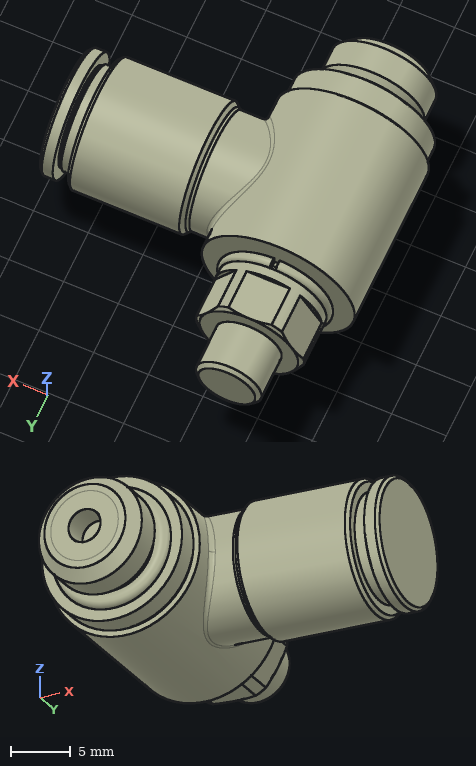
import cadquery as cq
import math

total_length = 33.05

body_radius = 7.0
body_start = 7.53
body_end = 22.6

bore_radius = 1.5
bore_depth = 2.65
foot_face_radius = 3.15
foot_rim_radius = 3.77
foot_rim_height = 0.05
thread_radius = 4.8
thread_start = foot_rim_height + thread_radius - foot_rim_radius
thread_end = 3.55
foot_neck_radius = 4.13
foot_neck_start = thread_end + thread_radius - foot_neck_radius

flange_start = 5.2
flange_radius = 6.5
seal_radius = 5.5
seal_section_radius = 0.75
seal_centre_radius = seal_radius - seal_section_radius
seal_start = flange_start - seal_section_radius
seal_overlap = seal_centre_radius - foot_neck_radius
seal_inner_start = flange_start - math.sqrt(seal_section_radius**2 - seal_overlap**2)
flange_chamfer = 0.15

ring_outer_radius = 5.25
ring_thickness = 1.0
ring_gap = 0.53
ring_seat_radius = 4.63
ring_seat_start = 23.33
ring_groove_radius = 3.95
collar_start = 23.72
collar_radius = 4.92
hex_start = 24.6
hex_end = 28.55
hex_across_flats = 9.02
hex_turn = 30
hex_chamfer_height = 0.23
hex_face_radius = hex_across_flats / 2

stem_radius = 3.0
stem_chamfer = 0.4

arm_y = (body_start + body_end) / 2
arm_end = 22.7
neck_radius = 5.5
neck_fillet = 0.43
neck_end = 9.05
neck_step_x = 9.35
neck_step_radius = 5.62
sleeve_radius = 6.0
sleeve_start = neck_step_x + sleeve_radius - neck_step_radius
sleeve_end = 20.05
sleeve_chamfer = 0.33
collet_radius = 4.82
collet_end = 21.05
collet_tip_radius = 4.63
collet_tip_start = collet_end + collet_radius - collet_tip_radius
button_start = 21.4
button_radius = 5.78
button_chamfer = 0.3


def cylinder_along_y(radius, start, end):
    """Solid cylinder on the spindle axis between two places along Y."""
    return cq.Workplane("XZ", origin=(0, start, 0)).circle(radius).extrude(start - end)


def spindle_below_body():
    """Foot, seal and flange turned about Y, with the blind bore."""
    profile = (
        cq.Workplane("XY")
        .lineTo(foot_face_radius, 0)
        .lineTo(foot_rim_radius, foot_rim_height)
        .lineTo(thread_radius, thread_start)
        .lineTo(thread_radius, thread_end)
        .lineTo(foot_neck_radius, foot_neck_start)
        .lineTo(foot_neck_radius, seal_inner_start)
        .threePointArc((seal_centre_radius, seal_start), (seal_radius, flange_start))
        .lineTo(flange_radius, flange_start)
        .lineTo(flange_radius, body_start - flange_chamfer)
        .lineTo(flange_radius - flange_chamfer, body_start)
        .lineTo(flange_radius - flange_chamfer, arm_y)
        .lineTo(0, arm_y)
        .close()
    )
    turned = profile.revolve(360, (0, 0, 0), (0, 1, 0))
    bore = cylinder_along_y(bore_radius, 0, bore_depth)
    return turned.cut(bore)


def body_with_neck():
    """Plain body cylinder with the arm's neck blended into it."""
    body = cylinder_along_y(body_radius, body_start, body_end)
    neck = cq.Workplane("YZ").center(arm_y, 0).circle(neck_radius).extrude(neck_end)
    joint_margin = 0.33
    joint_box = cq.selectors.BoxSelector(
        (joint_margin, arm_y - body_radius, -body_radius),
        (neck_end - joint_margin, arm_y + body_radius, body_radius),
    )
    return body.union(neck).edges(joint_box).fillet(neck_fillet)


def snap_ring():
    """Split ring of round section held against the collar, its gap facing +Z."""
    section_radius = ring_thickness / 2
    centre_radius = ring_outer_radius - section_radius
    centre_y = collar_start - section_radius
    section_plane = cq.Plane(origin=(centre_radius, centre_y, 0), xDir=(-1, 0, 0), normal=(0, 0, 1))
    section = cq.Workplane(section_plane).circle(section_radius)
    ring = section.revolve(360, (centre_radius, 0, 0), (centre_radius, 1, 0))
    gap = (
        cq.Workplane("XY", origin=(0, centre_y, 0))
        .rect(ring_gap, 2 * ring_thickness)
        .extrude(ring_outer_radius + ring_thickness)
    )
    return ring.cut(gap)


def spindle_above_body():
    """Collar, chamfered hexagon and adjusting stem."""
    turned = (
        cq.Workplane("XY")
        .moveTo(0, arm_y)
        .lineTo(ring_groove_radius, arm_y)
        .lineTo(ring_groove_radius, ring_seat_start)
        .lineTo(ring_seat_radius, ring_seat_start)
        .lineTo(ring_seat_radius, collar_start)
        .lineTo(collar_radius, collar_start)
        .lineTo(collar_radius, hex_end - hex_chamfer_height)
        .lineTo(hex_face_radius, hex_end)
        .lineTo(stem_radius, hex_end)
        .lineTo(stem_radius, total_length - stem_chamfer)
        .lineTo(stem_radius - stem_chamfer, total_length)
        .lineTo(0, total_length)
        .close()
        .revolve(360, (0, 0, 0), (0, 1, 0))
    )
    hex_blank = cylinder_along_y(body_radius, hex_start, hex_end)
    hexagon = (
        cq.Workplane("XZ", origin=(0, hex_start, 0))
        .polygon(6, hex_across_flats, circumscribed=True)
        .extrude(hex_start - hex_end)
        .rotate((0, 0, 0), (0, 1, 0), hex_turn)
    )
    return turned.cut(hex_blank.cut(hexagon))


def tube_arm():
    """Sleeve, collet and release button turned about the arm axis."""
    profile = (
        cq.Workplane("XY", origin=(0, arm_y, 0))
        .moveTo(neck_end, 0)
        .lineTo(neck_end, neck_radius)
        .lineTo(neck_step_x, neck_step_radius)
        .lineTo(sleeve_start, sleeve_radius)
        .lineTo(sleeve_end - sleeve_chamfer, sleeve_radius)
        .lineTo(sleeve_end, sleeve_radius - sleeve_chamfer)
        .lineTo(sleeve_end, collet_radius)
        .lineTo(collet_end, collet_radius)
        .lineTo(collet_tip_start, collet_tip_radius)
        .lineTo(button_start, collet_tip_radius)
        .lineTo(button_start, button_radius)
        .lineTo(arm_end - button_chamfer, button_radius)
        .lineTo(arm_end, button_radius - button_chamfer)
        .lineTo(arm_end, 0)
        .close()
    )
    return profile.revolve(360, (0, 0, 0), (1, 0, 0))


result = (
    body_with_neck()
    .union(spindle_below_body())
    .union(spindle_above_body())
    .union(snap_ring())
    .union(tube_arm())
)